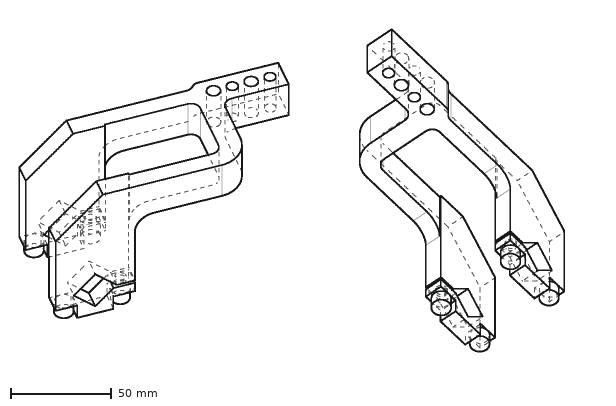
import cadquery as cq
import math

width = 58.5
length = 138.0
height = 83.0

tab_width = 16.0
arm_left = 3.5
arm_thickness = 9.0
bridge_inner_y = 90.8
bridge_thickness = 12.0
bridge_outer_y = bridge_inner_y + bridge_thickness
corner_radius = 5.0
outer_corner_radius = 15.0
step_middle_y = 92.0

hole_x = tab_width / 2
first_hole_y = length - 7.2
hole_pitch = 10.0
hole_diameters = (6.0, 7.0, 6.0, 7.0)

bar_depth = 22.0
bevel = 25.0
elbow_radius = 10.0
clamp_length = 42.0
clamp_thickness = 10.0
lug_z = 8.8
block_width = 19.2

opening_side = 16.0
opening_angle = 45
opening_y = 21.0
opening_z = 16.4
slot_height = 1.7

screw_offset = 14.9
shank_diameter = 6.0
head_diameter = 10.0
head_height = 7.0


def round_corner(body, x, y, radius):
    """Fillet the vertical edge at the given corner."""
    return body.edges(cq.selectors.NearestToPointSelector((x, y, height - bar_depth / 2))).fillet(radius)


def fork():
    """Fork with an S-shaped step on its left side and a drilled tab."""
    step_bulge = arm_left / 2
    step_run = math.sqrt(2 * corner_radius * step_bulge - step_bulge**2)
    half_turn = math.asin(step_run / corner_radius) / 2
    mid_bulge = corner_radius * (1 - math.cos(half_turn))
    mid_run = corner_radius * math.sin(half_turn)
    step_top = step_middle_y + step_run
    step_bottom = step_middle_y - step_run
    inner_left = arm_left + arm_thickness
    inner_right = width - arm_thickness
    outline = (
        cq.Workplane("XY")
        .workplane(offset=height - bar_depth)
        .moveTo(arm_left, 0)
        .lineTo(arm_left, step_bottom)
        .threePointArc((arm_left - mid_bulge, step_bottom + mid_run), (step_bulge, step_middle_y))
        .threePointArc((mid_bulge, step_top - mid_run), (0, step_top))
        .lineTo(0, length)
        .lineTo(tab_width, length)
        .lineTo(tab_width, bridge_outer_y)
        .lineTo(width, bridge_outer_y)
        .lineTo(width, 0)
        .lineTo(inner_right, 0)
        .lineTo(inner_right, bridge_inner_y)
        .lineTo(inner_left, bridge_inner_y)
        .lineTo(inner_left, 0)
        .close()
    )
    body = outline.extrude(bar_depth)

    body = round_corner(body, tab_width, bridge_outer_y, corner_radius)
    body = round_corner(body, width, bridge_outer_y, outer_corner_radius)
    body = round_corner(body, inner_right, bridge_inner_y, corner_radius)
    body = round_corner(body, inner_left, bridge_inner_y, corner_radius)

    for index, diameter in enumerate(hole_diameters):
        hole_y = first_hole_y - index * hole_pitch
        hole = cq.Workplane("XY").center(hole_x, hole_y).circle(diameter / 2).extrude(height)
        body = body.cut(hole)
    return body


def clamp_plate(left_x):
    """Thick end of one arm, with its stepped foot and split opening."""
    block_front = opening_y - block_width / 2
    block_back = opening_y + block_width / 2
    plane = cq.Workplane("YZ").workplane(offset=left_x)
    plate = (
        plane.moveTo(0, lug_z)
        .lineTo(block_front, lug_z)
        .lineTo(block_front, 0)
        .lineTo(block_back, 0)
        .lineTo(block_back, lug_z)
        .lineTo(clamp_length, lug_z)
        .lineTo(clamp_length, height)
        .lineTo(0, height)
        .close()
        .extrude(clamp_thickness)
    )
    opening = (
        plane.center(opening_y, opening_z)
        .transformed(rotate=(0, 0, opening_angle))
        .rect(opening_side, opening_side)
        .extrude(clamp_thickness)
    )
    slot = (
        plane.moveTo(opening_y, opening_z - slot_height)
        .lineTo(clamp_length, opening_z - slot_height)
        .lineTo(clamp_length, opening_z)
        .lineTo(opening_y, opening_z)
        .close()
        .extrude(clamp_thickness)
    )
    return plate.cut(opening).cut(slot)


def elbow(left_x):
    """Concave fillet between the bar underside and the back of a clamp plate."""
    bar_bottom = height - bar_depth
    center_y = clamp_length + elbow_radius
    center_z = bar_bottom - elbow_radius
    diagonal = elbow_radius * math.sqrt(0.5)
    return (
        cq.Workplane("YZ")
        .workplane(offset=left_x)
        .moveTo(clamp_length, bar_bottom)
        .lineTo(clamp_length, center_z)
        .threePointArc((center_y - diagonal, center_z + diagonal), (center_y, bar_bottom))
        .close()
        .extrude(arm_thickness)
    )


def cylinder(x, y, bottom, top, diameter):
    """Upright cylinder between two heights."""
    return cq.Workplane("XY", origin=(x, y, bottom)).circle(diameter / 2).extrude(top - bottom)


def screws(center_x):
    """Both screw heads under the lugs, and the shank crossing the slot."""
    front_y = opening_y - screw_offset
    back_y = opening_y + screw_offset
    head_bottom = lug_z - head_height
    front_head = cylinder(center_x, front_y, head_bottom, lug_z, head_diameter)
    back_head = cylinder(center_x, back_y, head_bottom, lug_z, head_diameter)
    shank = cylinder(center_x, back_y, lug_z, opening_z, shank_diameter)
    return front_head, back_head, shank


def tip_bevel():
    """Triangular prism that slopes the upper front of both arms."""
    return (
        cq.Workplane("YZ")
        .moveTo(0, height - bevel)
        .lineTo(bevel, height)
        .lineTo(0, height)
        .close()
        .extrude(width)
    )


result = fork()
right_plate = width - clamp_thickness
for plate_x, elbow_x in ((arm_left, arm_left), (right_plate, width - arm_thickness)):
    result = result.union(clamp_plate(plate_x)).union(elbow(elbow_x))
    for screw_part in screws(plate_x + clamp_thickness / 2):
        result = result.union(screw_part)
result = result.cut(tip_bevel())